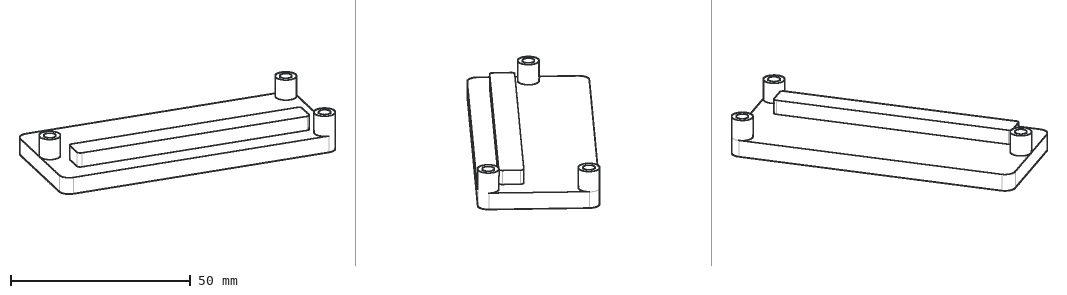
import cadquery as cq

plate_width = 34.0
plate_length = 83.0
plate_thickness = 5.0
corner_radius = 3.0

total_height = 11.0
post_radius = corner_radius
hole_diameter = 3.4
post_x = plate_width / 2 - post_radius
post_y = plate_length / 2 - post_radius
post_centers = [(-post_x, post_y), (post_x, post_y), (0, -post_y)]

bar_width = 7.0
bar_length = 70.0
bar_height = 4.2
bar_corner_radius = 1.0
bar_center = (7.5, 0.5)


def rounded_block(width, length, height, radius):
    """Block standing on Z = 0 with rounded vertical edges."""
    block = cq.Workplane("XY").box(width, length, height, centered=(True, True, False))
    return block.edges("|Z").fillet(radius)


plate = rounded_block(plate_width, plate_length, plate_thickness, corner_radius)

bar = rounded_block(bar_width, bar_length, plate_thickness + bar_height, bar_corner_radius)
bar = bar.translate((*bar_center, 0))

posts = cq.Workplane("XY").pushPoints(post_centers).circle(post_radius).extrude(total_height)

holes = cq.Workplane("XY").pushPoints(post_centers).circle(hole_diameter / 2).extrude(total_height)

result = plate.union(bar).union(posts).cut(holes).clean()